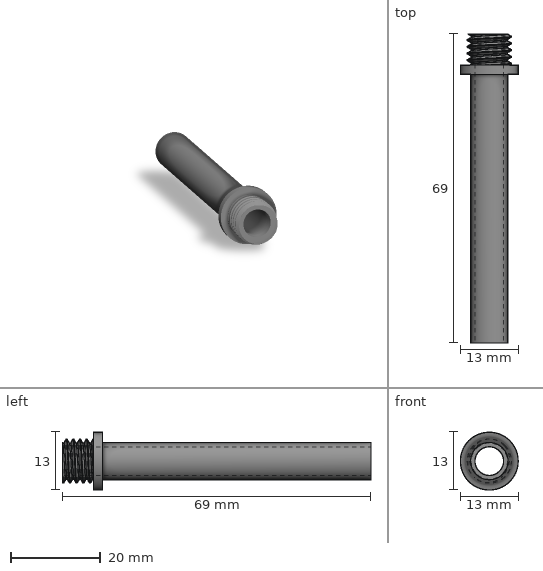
import cadquery as cq
import math

total_length = 69.0
bore_diameter = 6.35
tube_diameter = 8.35
collar_diameter = 13.0
collar_thickness = 2.1
threaded_length = 6.9

root_diameter = 8.15
crest_diameter = 9.9
turns_on_neck = 4.6
crest_to_end = 0.55
half_ridge_angle = 30.0
root_overlap = 0.15
pitch = threaded_length / turns_on_neck
crest_flat = pitch / 8
turns_to_collar = 5
turns_past_end = 1

collar_top = total_length - threaded_length
collar_bottom = collar_top - collar_thickness


def cylinder(diameter, bottom, top):
    """Cylinder on the Z axis between two heights."""
    return cq.Workplane("XY").workplane(offset=bottom).circle(diameter / 2).extrude(top - bottom)


def thread_ridge():
    """Helical ridge that starts inside the collar and stops flush with the end."""
    inner_radius = root_diameter / 2 - root_overlap
    crest_radius = crest_diameter / 2
    half_crest = crest_flat / 2
    half_base = half_crest + (crest_radius - inner_radius) * math.tan(math.radians(half_ridge_angle))
    start = total_length - crest_to_end - turns_to_collar * pitch
    height = (turns_to_collar + turns_past_end) * pitch

    helix = cq.Wire.makeHelix(pitch, height, inner_radius).translate(cq.Vector(0, 0, start))
    profile = cq.Workplane("XZ").polyline([
        (inner_radius, start - half_base),
        (crest_radius, start - half_crest),
        (crest_radius, start + half_crest),
        (inner_radius, start + half_base),
    ]).close()
    ridge = profile.sweep(cq.Workplane(obj=helix), isFrenet=True)
    return ridge.intersect(cylinder(collar_diameter, collar_bottom, total_length))


tube = cylinder(tube_diameter, 0, collar_top)
collar = cylinder(collar_diameter, collar_bottom, collar_top)
neck = cylinder(root_diameter, collar_top, total_length)
bore = cylinder(bore_diameter, 0, total_length)

solid_part = tube.union(collar).union(neck).union(thread_ridge()).cut(bore)
result = solid_part.rotate((0, 0, 0), (1, 0, 0), -90)